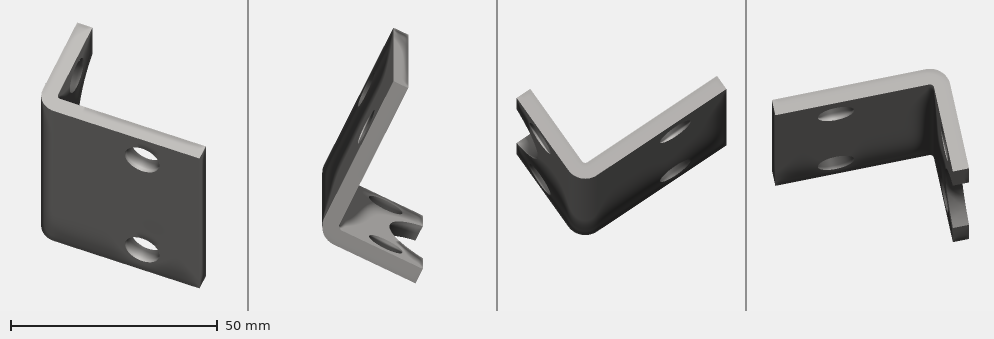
import cadquery as cq

width = 43.0
depth = 27.0
height = 52.0

thickness = 4.0
inner_bend_radius = 1.0
outer_bend_radius = inner_bend_radius + thickness

hole_diameter = 9.0
long_leg_hole_edge_distance = 15.0
long_leg_hole_spacing = 36.0
short_leg_hole_edge_distance = 10.0
short_leg_hole_spacing = 38.0

cutout_radius = 18.0
cutout_depth = 9.0

mid_height = height / 2


def bent_sheet():
    """L-shaped sheet with its outer corner at the origin and a rounded bend."""
    legs = (
        cq.Workplane("XY")
        .polyline([
            (0, 0),
            (width, 0),
            (width, thickness),
            (thickness, thickness),
            (thickness, depth),
            (0, depth),
        ])
        .close()
        .extrude(height)
    )
    outer_corner = (0, 0, mid_height)
    outer_rounded = legs.edges(cq.selectors.NearestToPointSelector(outer_corner)).fillet(outer_bend_radius)
    inner_corner = (thickness, thickness, mid_height)
    return outer_rounded.edges(cq.selectors.NearestToPointSelector(inner_corner)).fillet(inner_bend_radius)


def cylinder_along_y(x, z, radius):
    """Cutter through the long leg."""
    return cq.Workplane("XZ").center(x, z).circle(radius).extrude(-thickness)


def cylinder_along_x(y, z, radius):
    """Cutter through the short leg."""
    return cq.Workplane("YZ").center(y, z).circle(radius).extrude(thickness)


result = bent_sheet()

for side in (-1, 1):
    long_leg_z = mid_height + side * long_leg_hole_spacing / 2
    short_leg_z = mid_height + side * short_leg_hole_spacing / 2
    result = result.cut(
        cylinder_along_y(width - long_leg_hole_edge_distance, long_leg_z, hole_diameter / 2)
    )
    result = result.cut(
        cylinder_along_x(depth - short_leg_hole_edge_distance, short_leg_z, hole_diameter / 2)
    )

cutout_center_y = depth - cutout_depth + cutout_radius
result = result.cut(cylinder_along_x(cutout_center_y, mid_height, cutout_radius))